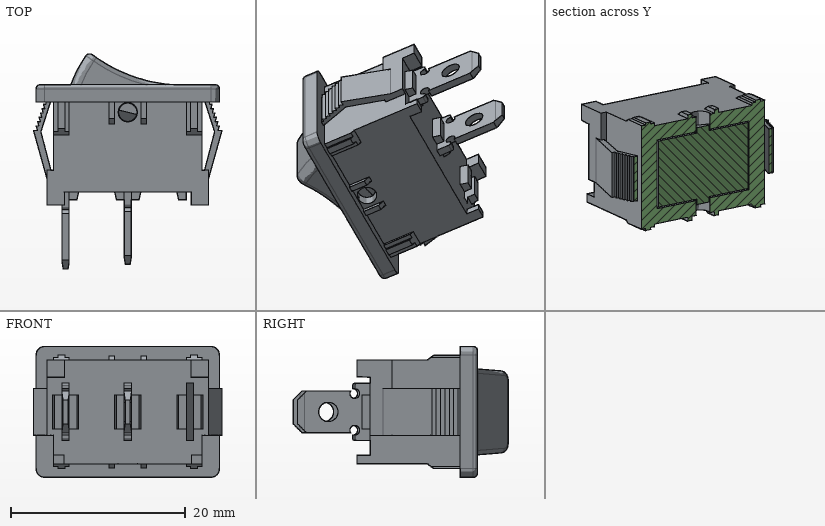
import cadquery as cq
import math


BEZEL_LENGTH = 21.0
BEZEL_WIDTH = 15.0
BEZEL_THICKNESS = 2.0
BEZEL_CORNER_RADIUS = 1.0
BEZEL_EDGE_RADIUS = 0.5

CASE_LENGTH = 17.0
CASE_HALF_WIDTH = 5.95
CASE_DEPTH = 10.3
SHOULDER_LENGTH = 18.5
SHOULDER_START = 7.8
CLIP_WIDTH = 5.4
FOOT_HEIGHT = 1.5
TOP_FOOT_SIZE = 2.0
TOP_FOOT_DRAFT = 0.07
BOTTOM_FOOT_LENGTH = 1.2
BOTTOM_FOOT_SIZE = 1.0

CLIP_ROOT_X = 8.83
CLIP_ELBOW = (9.93, -3.4)
CLIP_FOOT_X = 8.78
CLIP_FOOT_Y = -8.8
CLIP_PEAK_X = 10.8
TOOTH_COUNT = 6
TOOTH_PITCH = 0.5
TOOTH_LEAN = 0.165
TOOTH_DEPTH = 0.3
FIRST_TOOTH_X = 9.36
FIRST_TOOTH_Y = -0.24

RIB_RUN_PER_RISE = 1.37
PAD_LENGTH = 1.8
PAD_RISE = 0.3
PAD_END = 3.76
CREST_LENGTH = 0.76
CREST_RISE = 0.55
CREST_CENTRE = 7.58
SMALL_RIB_LENGTH = 0.63
SMALL_RIB_RISE = 0.46
SMALL_RIB_CENTRE = 1.82
SMALL_RIB_END = 2.52

TERMINAL_PITCH = 7.11
TERMINAL_THICKNESS = 0.83
TERMINAL_BASE_WIDTH = 6.56
BLADE_WIDTH = 4.8
BLADE_TIP_WIDTH = 2.75
BLADE_TIP_THICKNESS = 0.57
BLADE_TIP_TAPER = 0.8
BLADE_HOLE_DIAMETER = 2.2
BLADE_HOLE_FROM_TIP = 3.52
NOTCH_DIAMETER = 1.1
NOTCH_OFFSET = 2.1
BASE_CORNER_RADIUS = 0.25
END_TERMINAL_TIP = 19.11
MIDDLE_TERMINAL_TIP = 18.59
END_TERMINAL_BASE = 12.3
MIDDLE_TERMINAL_BASE = 12.05
EMPTY_SLOT_NEAR_DEPTH = 0.5
EMPTY_SLOT_FAR_DEPTH = 3.5
GUARD_LENGTH = 3.0
GUARD_TIP_LENGTH = 2.6
GUARD_WIDTH = 3.92
GUARD_HEIGHT = 0.9

TILT = math.radians(14)
PIVOT_Y = -1.17
PIVOT_HOLE_DIAMETER = 2.2
PIVOT_PIN_DIAMETER = 2.1
PIVOT_PIN_END = 4.65
PIVOT_RAMP_END = 4.1
HUB_RADIUS = 1.6
CAP_HALF_LENGTH = 7.1
CAP_HALF_WIDTH = 5.08
CAP_TIP_HALF_WIDTH = 4.62
CAP_TIP = (-4.47, 5.76)
CAP_END_MIDDLE = (-5.74, 3.75)
CAP_TOP_MIDDLE = (-0.95, 3.56)
CAP_TOP_LOW = (4.31, 2.06)
CAP_LOW_END_Y = 1.9
CAP_CORNER_RADIUS = 1.15
CAP_EDGE_RADIUS = 0.55
STEM_HALF_LENGTH = 6.2
STEM_HALF_WIDTH = 4.0
WELL_CLEARANCE = 0.1


def block(x_range, y_range, z_range):
    """Box between pairs of limits along X, Y and Z."""
    sizes = [high - low for low, high in (x_range, y_range, z_range)]
    corner = (x_range[0], y_range[0], z_range[0])
    return cq.Workplane("XY").box(*sizes, centered=False).translate(corner)


def z_prism(points, z_low, z_high):
    """Closed XY outline extruded along Z."""
    return cq.Workplane("XY", origin=(0, 0, z_low)).polyline(points).close().extrude(z_high - z_low)


def x_prism(points, x_centre, length):
    """Closed YZ outline extruded along X, centred on x_centre."""
    start = (x_centre - length / 2, 0, 0)
    return cq.Workplane("YZ", origin=start).polyline(points).close().extrude(length)


def both_ends(shape):
    """The shape together with its mirror image at -X."""
    return shape.union(shape.mirror("YZ"))


def make_bezel():
    bezel = block(
        (-BEZEL_LENGTH / 2, BEZEL_LENGTH / 2),
        (0, BEZEL_THICKNESS),
        (-BEZEL_WIDTH / 2, BEZEL_WIDTH / 2),
    )
    bezel = bezel.edges("|Y").fillet(BEZEL_CORNER_RADIUS)
    return bezel.faces(">Y").edges().fillet(BEZEL_EDGE_RADIUS)


def make_case():
    case = block(
        (-CASE_LENGTH / 2, CASE_LENGTH / 2),
        (-CASE_DEPTH, 0),
        (-CASE_HALF_WIDTH, CASE_HALF_WIDTH),
    )
    shoulder = block(
        (-SHOULDER_LENGTH / 2, SHOULDER_LENGTH / 2),
        (-CASE_DEPTH, -SHOULDER_START),
        (-CLIP_WIDTH / 2, CASE_HALF_WIDTH),
    )
    return case.union(shoulder)


def make_feet():
    foot_end = -CASE_DEPTH - FOOT_HEIGHT
    top_foot_base = CASE_HALF_WIDTH - TOP_FOOT_SIZE
    top_profile = [
        (-CASE_DEPTH, CASE_HALF_WIDTH),
        (foot_end, CASE_HALF_WIDTH),
        (foot_end, top_foot_base + TOP_FOOT_DRAFT),
        (-CASE_DEPTH, top_foot_base),
    ]
    top_foot = x_prism(top_profile, (SHOULDER_LENGTH - TOP_FOOT_SIZE) / 2, TOP_FOOT_SIZE)
    bottom_foot = block(
        (CASE_LENGTH / 2 - BOTTOM_FOOT_LENGTH, CASE_LENGTH / 2),
        (foot_end, -CASE_DEPTH),
        (-CASE_HALF_WIDTH, BOTTOM_FOOT_SIZE - CASE_HALF_WIDTH),
    )
    return both_ends(top_foot).union(both_ends(bottom_foot))


def make_clips():
    """Bent spring arms with sawtooth steps that grip the panel."""
    outline = [(CLIP_ROOT_X, 0), (FIRST_TOOTH_X, 0)]
    for i in range(TOOTH_COUNT + 1):
        root_x = FIRST_TOOTH_X + i * TOOTH_LEAN
        tip_x = root_x + TOOTH_DEPTH if i < TOOTH_COUNT else CLIP_PEAK_X
        tooth_y = FIRST_TOOTH_Y - i * TOOTH_PITCH
        outline += [(root_x, tooth_y), (tip_x, tooth_y)]
    outline += [
        (SHOULDER_LENGTH / 2, CLIP_FOOT_Y),
        (CLIP_FOOT_X, CLIP_FOOT_Y),
        (CLIP_FOOT_X, -SHOULDER_START),
        CLIP_ELBOW,
    ]
    return both_ends(z_prism(outline, -CLIP_WIDTH / 2, CLIP_WIDTH / 2))


def rib(x_centre, length, rise, end):
    """Rib along Y on the +Z side, sloping down to the case at its rear end."""
    profile = [
        (0, CASE_HALF_WIDTH),
        (-end, CASE_HALF_WIDTH),
        (rise * RIB_RUN_PER_RISE - end, CASE_HALF_WIDTH + rise),
        (0, CASE_HALF_WIDTH + rise),
    ]
    return x_prism(profile, x_centre, length)


def make_ribs():
    pad = rib((CASE_LENGTH - PAD_LENGTH) / 2, PAD_LENGTH, PAD_RISE, PAD_END)
    crest = rib(CREST_CENTRE, CREST_LENGTH, CREST_RISE, PAD_END)
    small = rib(SMALL_RIB_CENTRE, SMALL_RIB_LENGTH, SMALL_RIB_RISE, SMALL_RIB_END)
    upper = both_ends(pad.union(crest).union(small))
    return upper.union(upper.mirror("XY"))


def make_guard(x_centre):
    """Tapered block that flanks a terminal on both sides."""
    tip_y = -CASE_DEPTH - GUARD_HEIGHT
    outline = [
        (x_centre - GUARD_LENGTH / 2, -CASE_DEPTH),
        (x_centre + GUARD_LENGTH / 2, -CASE_DEPTH),
        (x_centre + GUARD_TIP_LENGTH / 2, tip_y),
        (x_centre - GUARD_TIP_LENGTH / 2, tip_y),
    ]
    return z_prism(outline, -GUARD_WIDTH / 2, GUARD_WIDTH / 2)


def make_terminal(x_centre, base_end, tip):
    """Flat blade with a wide base, two stress notches, a hole and a tapered tip."""
    half_thickness = TERMINAL_THICKNESS / 2
    base = block(
        (-half_thickness, half_thickness),
        (-base_end, -CASE_DEPTH),
        (-TERMINAL_BASE_WIDTH / 2, TERMINAL_BASE_WIDTH / 2),
    )
    base = base.faces("<Y").edges("|X").fillet(BASE_CORNER_RADIUS)

    chamfer_start = tip - (BLADE_WIDTH - BLADE_TIP_WIDTH) / 2
    blade_profile = [
        (-CASE_DEPTH, -BLADE_WIDTH / 2),
        (-CASE_DEPTH, BLADE_WIDTH / 2),
        (-chamfer_start, BLADE_WIDTH / 2),
        (-tip, BLADE_TIP_WIDTH / 2),
        (-tip, -BLADE_TIP_WIDTH / 2),
        (-chamfer_start, -BLADE_WIDTH / 2),
    ]
    blade = x_prism(blade_profile, 0, TERMINAL_THICKNESS)
    side_outline = [
        (-half_thickness, -CASE_DEPTH),
        (half_thickness, -CASE_DEPTH),
        (half_thickness, BLADE_TIP_TAPER - tip),
        (BLADE_TIP_THICKNESS / 2, -tip),
        (-BLADE_TIP_THICKNESS / 2, -tip),
        (-half_thickness, BLADE_TIP_TAPER - tip),
    ]
    blade = blade.intersect(z_prism(side_outline, -BLADE_WIDTH / 2, BLADE_WIDTH / 2))

    side = cq.Workplane("YZ", origin=(-half_thickness, 0, 0))
    notches = side.pushPoints([(-base_end, -NOTCH_OFFSET), (-base_end, NOTCH_OFFSET)])
    notches = notches.circle(NOTCH_DIAMETER / 2).extrude(TERMINAL_THICKNESS)
    hole = side.center(BLADE_HOLE_FROM_TIP - tip, 0)
    hole = hole.circle(BLADE_HOLE_DIAMETER / 2).extrude(TERMINAL_THICKNESS)
    terminal = base.union(blade).cut(notches).cut(hole)
    return terminal.translate((x_centre, 0, 0))


def make_empty_slot():
    """Slot of the unused third terminal, through its guard, with a steep sloping floor."""
    near_x = TERMINAL_PITCH - TERMINAL_THICKNESS / 2
    far_x = TERMINAL_PITCH + TERMINAL_THICKNESS / 2
    mouth_y = -CASE_DEPTH - GUARD_HEIGHT
    outline = [
        (near_x, mouth_y),
        (far_x, mouth_y),
        (far_x, EMPTY_SLOT_FAR_DEPTH - CASE_DEPTH),
        (near_x, EMPTY_SLOT_NEAR_DEPTH - CASE_DEPTH),
    ]
    return z_prism(outline, -TERMINAL_BASE_WIDTH / 2, TERMINAL_BASE_WIDTH / 2)


def pivot_cylinder(diameter, half_length):
    start = (0, PIVOT_Y, -half_length)
    return cq.Workplane("XY", origin=start).circle(diameter / 2).extrude(2 * half_length)


def stem_underside_y(x):
    """Flat tilted underside of the stem, tangent to the hub around the pivot."""
    return PIVOT_Y - HUB_RADIUS / math.cos(TILT) - x * math.tan(TILT)


def make_rocker_well():
    """Window in the bezel for the rocker cap, and a smaller pit for its stem."""
    cap_x = CAP_HALF_LENGTH + WELL_CLEARANCE
    cap_z = CAP_HALF_WIDTH + WELL_CLEARANCE
    stem_x = STEM_HALF_LENGTH + WELL_CLEARANCE
    stem_z = STEM_HALF_WIDTH + WELL_CLEARANCE
    floor_y = stem_underside_y(STEM_HALF_LENGTH) - WELL_CLEARANCE
    window = block((-cap_x, cap_x), (0, BEZEL_THICKNESS), (-cap_z, cap_z))
    pit = block((-stem_x, stem_x), (floor_y, 0), (-stem_z, stem_z))
    return window.union(pit)


def make_housing():
    body = make_bezel().union(make_case()).union(make_feet())
    body = body.union(make_clips()).union(make_ribs())
    for x_centre in (-TERMINAL_PITCH, 0, TERMINAL_PITCH):
        body = body.union(make_guard(x_centre))
    body = body.cut(make_empty_slot())
    body = body.union(make_terminal(-TERMINAL_PITCH, END_TERMINAL_BASE, END_TERMINAL_TIP))
    body = body.union(make_terminal(0, MIDDLE_TERMINAL_BASE, MIDDLE_TERMINAL_TIP))
    body = body.cut(make_rocker_well())
    return body.cut(pivot_cylinder(PIVOT_HOLE_DIAMETER, CASE_HALF_WIDTH))


def make_pivot_pins():
    """Pin ends on both sides, each with a lead-in ramp on its rear half."""
    pins = pivot_cylinder(PIVOT_PIN_DIAMETER, PIVOT_PIN_END)
    ramp_profile = [
        (0, PIVOT_PIN_END),
        (-PIVOT_PIN_DIAMETER / 2, PIVOT_PIN_END),
        (-PIVOT_PIN_DIAMETER / 2, PIVOT_RAMP_END),
    ]
    ramp = x_prism(ramp_profile, 0, PIVOT_PIN_DIAMETER)
    ramp = ramp.rotate((0, 0, 0), (0, 0, 1), -math.degrees(TILT)).translate((0, PIVOT_Y, 0))
    return pins.cut(ramp).cut(ramp.mirror("XY"))


def make_cap():
    """Finger pad with a concave top, drafted sides and a rounded raised end."""
    base_y = WELL_CLEARANCE
    profile = (
        cq.Workplane("XY", origin=(0, 0, -CAP_HALF_WIDTH))
        .moveTo(-CAP_HALF_LENGTH, base_y)
        .threePointArc(CAP_END_MIDDLE, CAP_TIP)
        .threePointArc(CAP_TOP_MIDDLE, CAP_TOP_LOW)
        .lineTo(CAP_HALF_LENGTH, CAP_LOW_END_Y)
        .lineTo(CAP_HALF_LENGTH, base_y)
        .close()
        .extrude(2 * CAP_HALF_WIDTH)
    )
    drafted_section = [
        (base_y, -CAP_HALF_WIDTH),
        (CAP_TIP[1], -CAP_TIP_HALF_WIDTH),
        (CAP_TIP[1], CAP_TIP_HALF_WIDTH),
        (base_y, CAP_HALF_WIDTH),
    ]
    cap = profile.intersect(x_prism(drafted_section, 0, 2 * CAP_HALF_LENGTH))

    raised_end = cq.selectors.NearestToPointSelector((*CAP_END_MIDDLE, 0))
    cap = cap.faces(raised_end).edges("not |Z").fillet(CAP_CORNER_RADIUS)
    top_face = cq.selectors.NearestToPointSelector((*CAP_TOP_MIDDLE, 0))
    return cap.faces(top_face).edges("not >X").fillet(CAP_EDGE_RADIUS)


def make_stem():
    outline = [
        (-STEM_HALF_LENGTH, WELL_CLEARANCE),
        (STEM_HALF_LENGTH, WELL_CLEARANCE),
        (STEM_HALF_LENGTH, stem_underside_y(STEM_HALF_LENGTH)),
        (-STEM_HALF_LENGTH, stem_underside_y(-STEM_HALF_LENGTH)),
    ]
    return z_prism(outline, -STEM_HALF_WIDTH, STEM_HALF_WIDTH)


def make_rocker():
    return make_cap().union(make_stem()).union(make_pivot_pins())


housing = make_housing()
rocker = make_rocker()
result = cq.Compound.makeCompound([housing.val(), rocker.val()])